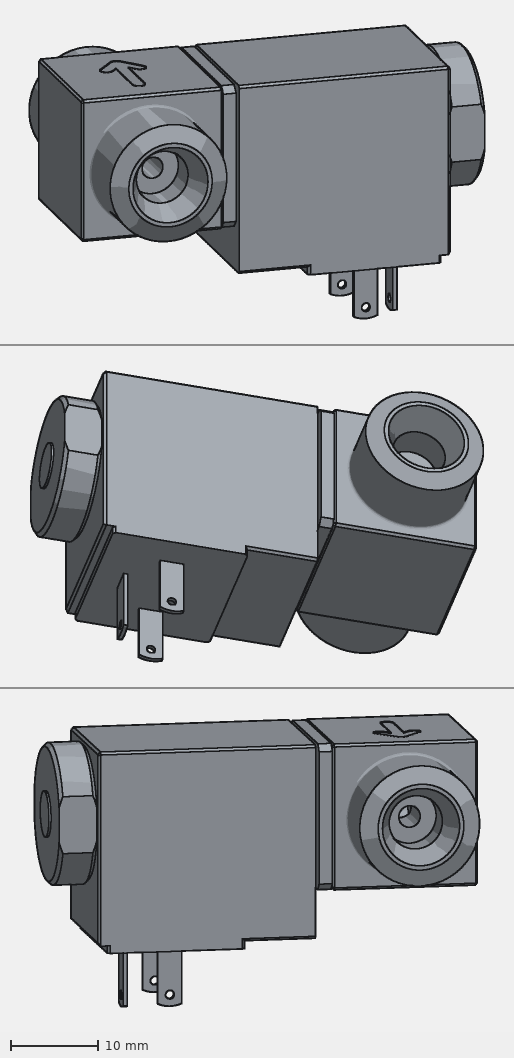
import cadquery as cq
import math


width = 17.0
half_width = width / 2
overall_length = 48.9
overall_height = 31.2
edge_chamfer = 0.3

block_front = -8.15
block_back = 8.8
plate_back = block_back + 1.55
coil_front = plate_back + 0.4
coil_back = 36.1
tube_tip = block_front + overall_length
nut_back = tube_tip - 0.25

block_end_chamfer = 0.25
port_reach = 16.5
port_radius = 7.0
port_face_radius = 5.0
port_nose_length = 0.8
port_root_fillet = 0.35
cone_mouth_radius = 4.5
cone_depth = 3.2
port_bore_radius = 3.1
port_bore_depth = 7.0
passage_radius = 1.25
duct_radius = 1.4
duct_offset = 2.5

arrow_depth = 0.1
arrow_stroke = 1.5
arrow_tip_x = -4.3
arrow_tail_x = 4.25
arrow_barb_x = -1.85
arrow_barb_y = 2.0

plate_corner_chamfer = 0.8

tube_radius = 5.5
stud_radius = 2.65

coil_bottom = -14.05
foot_bottom = -14.95
foot_front = 19.0
foot_back = 35.0

blade_width = 2.8
blade_thickness = 0.5
blade_tip_rise = 0.3
blade_hole_diameter = 1.0
blade_hole_to_tip = 1.35
side_blade_x = 4.6
side_blade_y = 27.05
side_blade_tip = -22.0
center_blade_y = 31.6
center_blade_tip = half_width - overall_height

nut_diameter = 16.4
nut_across_flats = 15.0
nut_chamfer = 0.45


def box(x_range, y_range, z_range):
    """Box between the given limits."""
    size = [high - low for low, high in (x_range, y_range, z_range)]
    corner = (x_range[0], y_range[0], z_range[0])
    return cq.Workplane("XY").box(*size, centered=False).translate(corner)


def rod_y(radius, y_start, y_end, x=0.0):
    """Cylinder along Y at height zero."""
    circle = cq.Workplane("XZ", origin=(x, y_start, 0)).circle(radius)
    return circle.extrude(y_start - y_end)


def revolve_x(outline):
    """Solid of revolution about X from a closed outline in the XY plane."""
    return outline.close().revolve(360, (0, 0, 0), (1, 0, 0))


def make_port_spigot():
    """Spigot on the +X side: a filleted root and a conical nose."""
    root_x = half_width + port_root_fillet
    fillet_mid = port_root_fillet * (1 - math.sqrt(0.5))
    outline = (
        cq.Workplane("XY")
        .moveTo(half_width, 0)
        .lineTo(half_width, port_radius + port_root_fillet)
        .threePointArc((half_width + fillet_mid, port_radius + fillet_mid), (root_x, port_radius))
        .lineTo(port_reach - port_nose_length, port_radius)
        .lineTo(port_reach, port_face_radius)
        .lineTo(port_reach, 0)
    )
    return revolve_x(outline)


def make_port_cavity():
    """Sealing cone, bore and blind passage of the +X port, with the duct it meets."""
    cone_end = port_reach - cone_depth
    bore_end = port_reach - port_bore_depth
    outline = (
        cq.Workplane("XY")
        .moveTo(port_reach, 0)
        .lineTo(port_reach, cone_mouth_radius)
        .lineTo(cone_end, port_bore_radius)
        .lineTo(bore_end, port_bore_radius)
        .lineTo(bore_end, passage_radius)
        .lineTo(duct_offset, passage_radius)
        .lineTo(duct_offset, 0)
    )
    duct = rod_y(duct_radius, -duct_radius, block_back, duct_offset)
    return revolve_x(outline).union(duct)


def make_arrow_stroke(start, end):
    """Round-ended stroke sunk into the top of the block."""
    run = end[0] - start[0]
    rise = end[1] - start[1]
    middle = ((start[0] + end[0]) / 2, (start[1] + end[1]) / 2)
    return (
        cq.Workplane("XY", origin=(*middle, half_width - arrow_depth))
        .slot2D(math.hypot(run, rise) + arrow_stroke, arrow_stroke, math.degrees(math.atan2(rise, run)))
        .extrude(arrow_depth)
    )


def make_block():
    """Cube with a port on each X side and the flow arrow on top."""
    across = (-half_width, half_width)
    block = box(across, (block_front, block_back), across)
    block = block.edges("|Y").chamfer(edge_chamfer)
    block = block.faces("<Y or >Y").edges().chamfer(block_end_chamfer)
    for turn in (0, 180):
        block = block.union(make_port_spigot().rotate((0, 0, 0), (0, 1, 0), turn))
    for turn in (0, 180):
        block = block.cut(make_port_cavity().rotate((0, 0, 0), (0, 1, 0), turn))
    arrow_tip = (arrow_tip_x, 0)
    for end in ((arrow_tail_x, 0), (arrow_barb_x, arrow_barb_y), (arrow_barb_x, -arrow_barb_y)):
        block = block.cut(make_arrow_stroke(arrow_tip, end))
    return block


def make_plate():
    """Square plate behind the block, bored for the tube."""
    across = (-half_width, half_width)
    plate = box(across, (block_back, plate_back), across)
    plate = plate.edges("|Y").chamfer(plate_corner_chamfer)
    return plate.cut(rod_y(tube_radius, block_back, plate_back))


def make_tube():
    """Armature tube from the block to the nut, ending in a stud through the nut."""
    return rod_y(tube_radius, block_back, coil_back).union(rod_y(stud_radius, coil_back, tube_tip))


def make_blade(tip_z):
    """Terminal facing Y, centred on X and Y, with an arched tip and a hole."""
    half_blade = blade_width / 2
    shoulder_z = tip_z + blade_tip_rise
    outline = (
        cq.Workplane("XZ", origin=(0, blade_thickness / 2, 0))
        .moveTo(-half_blade, coil_bottom)
        .lineTo(-half_blade, shoulder_z)
        .threePointArc((0, tip_z), (half_blade, shoulder_z))
        .lineTo(half_blade, coil_bottom)
        .close()
    )
    hole = (
        cq.Workplane("XZ", origin=(0, blade_thickness / 2, tip_z + blade_hole_to_tip))
        .circle(blade_hole_diameter / 2)
        .extrude(blade_thickness)
    )
    return outline.extrude(blade_thickness).cut(hole)


def make_coil():
    """Coil housing with its connector foot and three terminals, bored for the tube."""
    across = (-half_width, half_width)
    coil = box(across, (coil_front, coil_back), (coil_bottom, half_width))
    coil = coil.edges("|Y").chamfer(edge_chamfer)
    corner_top = coil_bottom + edge_chamfer
    coil = coil.union(box(across, (foot_front + edge_chamfer, coil_back), (coil_bottom, corner_top)))
    coil = coil.faces(">Y").edges().chamfer(edge_chamfer)
    foot = box(across, (foot_front, foot_back), (foot_bottom, corner_top))
    coil = coil.union(foot.edges("|Z").chamfer(edge_chamfer))
    coil = coil.union(make_blade(center_blade_tip).translate((0, center_blade_y, 0)))
    side_blade = make_blade(side_blade_tip).rotate((0, 0, 0), (0, 0, 1), 90)
    for x in (-side_blade_x, side_blade_x):
        coil = coil.union(side_blade.translate((x, side_blade_y, 0)))
    return coil.cut(rod_y(tube_radius, coil_front, coil_back))


def make_nut():
    """Round nut with chamfered rims and two flats facing X."""
    nut = rod_y(nut_diameter / 2, coil_back, nut_back).edges().chamfer(nut_chamfer)
    half_flats = nut_across_flats / 2
    flats = box((-half_flats, half_flats), (coil_back, nut_back), (-nut_diameter, nut_diameter))
    return nut.intersect(flats).cut(rod_y(stud_radius, coil_back, nut_back))


block = make_block()
plate = make_plate()
tube = make_tube()
coil = make_coil()
nut = make_nut()

result = cq.Compound.makeCompound(
    [block.val(), plate.val(), tube.val(), coil.val(), nut.val()]
)